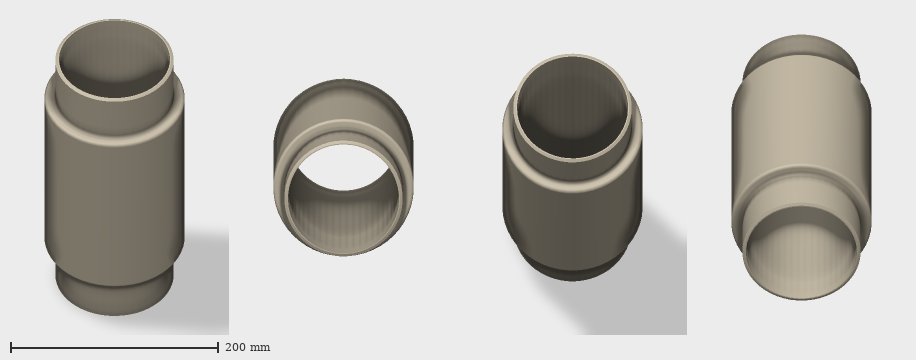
import cadquery as cq
import math

total_length = 292.0
body_diameter = 135.6
neck_diameter = 114.3
neck_length = 50.0
bore_diameter = 107.1

shoulder_round = 3.0
neck_root_fillet = 3.0

root_face_width = 1.0
bevel_angle = 30.0

body_length = total_length - 2 * neck_length
half_body_length = body_length / 2
bevel_width = (neck_diameter - bore_diameter) / 2 - root_face_width
bevel_height = bevel_width * math.tan(math.radians(bevel_angle))


def centred_cylinder(diameter, length):
    """Cylinder along Z, centred on the origin."""
    return cq.Workplane("XY").workplane(offset=-length / 2).circle(diameter / 2).extrude(length)


def edges_within(diameter, height):
    """Selector for edges at +height and -height that lie within a diameter."""
    radius = diameter / 2
    margin = 0.01
    upper, lower = [
        cq.selectors.BoxSelector(
            (-radius - margin, -radius - margin, z - margin),
            (radius + margin, radius + margin, z + margin),
            boundingbox=True,
        )
        for z in (height, -height)
    ]
    return upper + lower


body = centred_cylinder(body_diameter, body_length).edges("%CIRCLE").fillet(shoulder_round)

pipe = centred_cylinder(neck_diameter, total_length)
pipe = pipe.faces("<Z or >Z").chamfer(bevel_height, bevel_width)

coupling = body.union(pipe)
coupling = coupling.edges(edges_within(neck_diameter, half_body_length)).fillet(neck_root_fillet)

result = coupling.cut(centred_cylinder(bore_diameter, total_length))